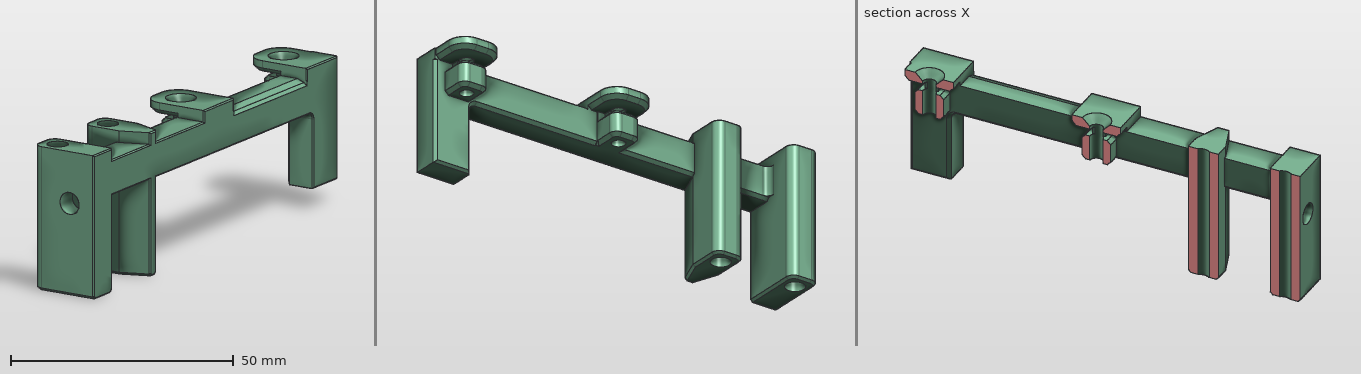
import cadquery as cq
import math

width = 16.5
length = 99.75
height = 33.5
overlap = 1.0

rail_top = height - 2.7
rail_bottom = height - 10.9
rail_face_x = 9.4
thick_face_x = 9.1
leg_length = 10.1
leg_bottom = height - 28.6
leg_corner_radius = 1.5
rail_edge_chamfer = 0.8
leg_back_chamfer = 0.7
foot_chamfer = 0.6
back_edge_chamfer = 0.3

relief_start_x = 13.9
relief_break_x = 15.7
relief_angle = 20.0
relief_edge_angle = 40.0

tab_width = 12.3
tab_corner_radius = 4.5
tab_edge_chamfer = 1.0
screw_x = 6.2
rear_screw_y = 93.3
screw_spacing = 42.0
screw_diameter = 3.3
countersink_diameter = 7.0
block_width = 7.3
block_top = height - 4.4
block_corner_radius = 2.0
block_chamfer = 0.9
web_face_x = 7.5

post_face_x = 0.4
post_width = 7.6
post_corner_radius = 2.1
pin_x = 4.3
pin_diameter = 4.8
middle_post_y = 24.3
taper_start_x = 9.8
taper_tip_width = 2.6
post_fillet = 1.7

front_hole_x = 10.0
front_hole_z = height - 12.1
front_hole_diameter = 5.1
front_hole_depth = 5.0

front_screw_y = rear_screw_y - screw_spacing
front_tab_rear_y = front_screw_y + tab_width / 2


def box(x_range, y_range, z_range):
    """Box between the given limits on each axis."""
    sizes = [high - low for low, high in (x_range, y_range, z_range)]
    corner = (x_range[0], y_range[0], z_range[0])
    return cq.Workplane("XY").box(*sizes, centered=False).translate(corner)


def make_rail():
    """Rail with the rear leg, as an L-shaped plate lying against the flat back."""
    leg_y = length - leg_length
    outline = [
        (post_width - overlap, rail_top),
        (length, rail_top),
        (length, leg_bottom),
        (leg_y, leg_bottom),
        (leg_y, rail_bottom),
        (post_width - overlap, rail_bottom),
    ]
    rail = (
        cq.Workplane("YZ", origin=(rail_face_x, 0, 0))
        .polyline(outline).close()
        .extrude(width - rail_face_x)
    )
    inner_corner = cq.selectors.NearestToPointSelector((width / 2, leg_y, rail_bottom))
    rail = rail.edges("|X").edges(inner_corner).fillet(leg_corner_radius)

    lower_edges = rail.faces("<X").edges("not >Z").edges("not >Y").edges("not <Y").edges("not <Z")
    rail = lower_edges.chamfer(rail_edge_chamfer)
    rail = rail.faces("<X").edges(">Y").chamfer(leg_back_chamfer)
    return rail.faces("<Z").edges("<X").chamfer(foot_chamfer)


def make_thick_stretch():
    """Front stretch of the rail, proud of the rear one, blended into the front post."""
    rear_y = front_screw_y + block_width / 2
    stretch = box((thick_face_x, width), (post_width - overlap, rear_y), (rail_bottom, rail_top))
    stretch = stretch.edges("<X and <Z").chamfer(rail_edge_chamfer)
    blend_bottom = rail_bottom + rail_edge_chamfer
    blend = (
        cq.Workplane("XY", origin=(0, 0, blend_bottom))
        .moveTo(thick_face_x - post_fillet, post_width)
        .radiusArc((thick_face_x, post_width + post_fillet), -post_fillet)
        .lineTo(thick_face_x + overlap, post_width + post_fillet)
        .lineTo(thick_face_x + overlap, post_width)
        .close()
        .extrude(rail_top - blend_bottom)
    )
    return stretch.union(blend)


def make_relief():
    """Cutter for the two slopes falling toward the flat back of the rear stretch."""
    break_z = rail_top - (relief_break_x - relief_start_x) * math.tan(math.radians(relief_angle))
    edge_z = break_z - (width - relief_break_x) * math.tan(math.radians(relief_edge_angle))
    outline = [
        (relief_start_x, rail_top),
        (relief_break_x, break_z),
        (width, edge_z),
        (width, rail_top),
    ]
    relief_rear_y = rear_screw_y - tab_width / 2
    return (
        cq.Workplane("XZ", origin=(0, relief_rear_y, 0))
        .polyline(outline).close()
        .extrude(relief_rear_y - front_tab_rear_y)
    )


def make_screw_mount(screw_y, root_rear_y):
    """Tab on top of the rail, a block below it across a gap, and a web between the two.

    The root of the tab, over the rail, reaches back to root_rear_y.
    """
    tab_y = (screw_y - tab_width / 2, screw_y + tab_width / 2)
    overhang = box((0, rail_face_x), tab_y, (rail_top, height))
    overhang = overhang.edges("|Z and <X").fillet(tab_corner_radius)
    overhang = overhang.faces("<Z").edges("not >X").chamfer(tab_edge_chamfer)
    tab = overhang.union(box((rail_face_x, width), (tab_y[0], root_rear_y), (rail_top, height)))

    half_block = block_width / 2
    block_y = (screw_y - half_block, screw_y + half_block)
    block = box((screw_x - half_block, rail_face_x + overlap), block_y, (rail_bottom, block_top))
    block = block.edges("|Z and <X").fillet(block_corner_radius)
    block = block.faces("<Z or >Z").edges("not >X").chamfer(block_chamfer)

    web_y = (screw_y - screw_diameter / 2, screw_y + screw_diameter / 2)
    web = box((web_face_x, rail_face_x + overlap), web_y, (block_top - overlap, rail_top))
    return tab.union(block).union(web)


def make_countersunk_hole(screw_y):
    """Cutter for a countersunk screw hole through a tab and its block."""
    sink_depth = (countersink_diameter - screw_diameter) / 2
    return (
        cq.Workplane("XZ", origin=(screw_x, screw_y, 0))
        .moveTo(0, 0)
        .lineTo(screw_diameter / 2, 0)
        .lineTo(screw_diameter / 2, height - sink_depth)
        .lineTo(countersink_diameter / 2, height)
        .lineTo(0, height)
        .close()
        .revolve(360, (0, 0), (0, 1))
    )


def make_pin_hole(pin_y):
    """Cutter for the vertical hole through a post."""
    return cq.Workplane("XY").center(pin_x, pin_y).circle(pin_diameter / 2).extrude(height)


def make_front_post():
    """Rectangular end post with rounded outer corners."""
    post = box((post_face_x, width), (0, post_width), (0, height))
    post = post.edges("|Z and <X").fillet(post_corner_radius)
    post = post.faces("<Z").edges("not >X").chamfer(foot_chamfer)
    front_hole = (
        cq.Workplane("XZ", origin=(front_hole_x, 0, front_hole_z))
        .circle(front_hole_diameter / 2)
        .extrude(-front_hole_depth)
    )
    return post.cut(front_hole).cut(make_pin_hole(post_width / 2))


def make_middle_post():
    """Post that tapers to a narrow tip at the flat back."""
    half_width = post_width / 2
    half_tip = taper_tip_width / 2
    outline = [
        (post_face_x, -half_width),
        (taper_start_x, -half_width),
        (width, -half_tip),
        (width, half_tip),
        (taper_start_x, half_width),
        (post_face_x, half_width),
    ]
    post = (
        cq.Workplane("XY", origin=(0, middle_post_y, 0))
        .polyline(outline).close()
        .extrude(height)
    )
    post = post.edges("|Z and <X").fillet(post_corner_radius)
    return post.faces("<Z").edges("not >X").chamfer(foot_chamfer)


result = make_rail().union(make_thick_stretch())
result = result.union(make_screw_mount(front_screw_y, front_tab_rear_y))
result = result.union(make_screw_mount(rear_screw_y, length))
for post in (make_front_post(), make_middle_post()):
    result = result.union(post)
result = result.faces(">X").edges().chamfer(back_edge_chamfer)

result = result.cut(make_relief())
for screw_y in (front_screw_y, rear_screw_y):
    result = result.cut(make_countersunk_hole(screw_y))
result = result.cut(make_pin_hole(middle_post_y))